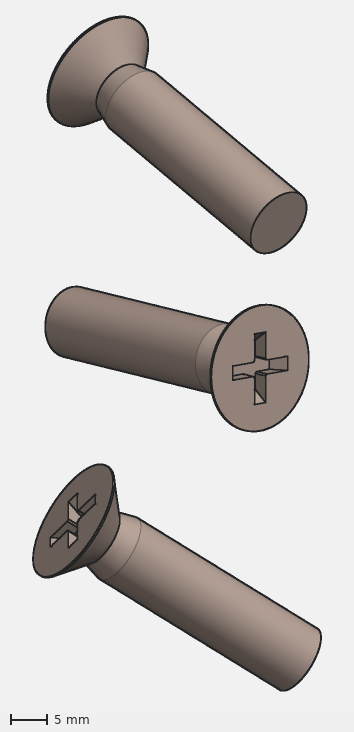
import cadquery as cq

length = 40.0
head_diameter = 17.8
rim_thickness = 0.3
neck_diameter = 8.4
shank_diameter = 10.0
shank_start = 8.0

recess_span = 10.0
recess_floor_span = 7.05
recess_width = 2.0
recess_depth = 2.2
recess_corner_chamfer = 0.25

head_radius = head_diameter / 2
neck_radius = neck_diameter / 2
shank_radius = shank_diameter / 2
neck_position = rim_thickness + head_radius - neck_radius


def screw_body():
    """Revolve the countersunk head, flared neck and plain shank."""
    return (
        cq.Workplane("XY")
        .moveTo(0, 0)
        .lineTo(0, head_radius)
        .lineTo(rim_thickness, head_radius)
        .lineTo(neck_position, neck_radius)
        .lineTo(shank_start, shank_radius)
        .lineTo(length, shank_radius)
        .lineTo(length, 0)
        .close()
        .revolve(360, (0, 0, 0), (1, 0, 0))
    )


def recess_arm_pair():
    """Straight slot along Y with both ends sloping in towards the floor."""
    return (
        cq.Workplane("XY")
        .moveTo(0, -recess_span / 2)
        .lineTo(0, recess_span / 2)
        .lineTo(recess_depth, recess_floor_span / 2)
        .lineTo(recess_depth, -recess_floor_span / 2)
        .close()
        .extrude(recess_width / 2, both=True)
    )


def cross_recess():
    """Join two crossed slots and chamfer the corners where they meet."""
    arms = recess_arm_pair()
    cross = arms.union(arms.rotate((0, 0, 0), (1, 0, 0), 90))
    return cross.edges("|X").chamfer(recess_corner_chamfer)


result = screw_body().cut(cross_recess())